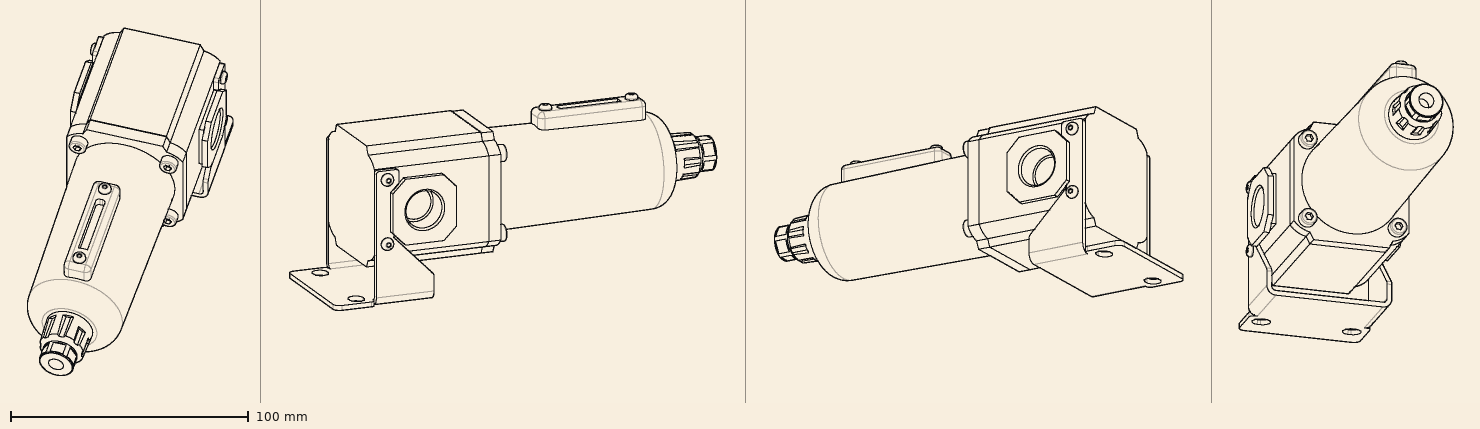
import cadquery as cq
import math


hex_sides = 6
sheet = 2.2

housing_half_width = 25.4
housing_top = 26.8
housing_half_height = 26.5
housing_length = 52.0
housing_shoulder = (18.3, 23.2)
corner_bulge = (22.5, 21.5)
side_half_height = 18.8
step_x = 16.7

port_y = -21.0
neck_half = 11.2
pad_half = 14.5
pad_corner = 5.8
overall_width = 60.0
pad_outer_x = overall_width / 2
bracket_half_width = housing_half_width + sheet
pad_inner_x = bracket_half_width
port_radius = 8.1
port_mouth_radius = 9.0
port_depth = 10.5
port_tip_radius = 7.0
port_tip_depth = 4.2

flange_thickness = 5.5
bowl_base_radius = 22.0
bowl_tip_radius = 20.6
bowl_length = 84.8
bowl_end_round = 8.7
flange_front_y = -(housing_length + flange_thickness)
bowl_end_y = flange_front_y - bowl_length

flange_screw_x = 19.7
flange_screw_z = 17.5
flange_screw_radius = 3.6
flange_screw_height = 3.8
flange_screw_round = 0.5
flange_socket_diameter = 3.5
flange_socket_depth = 1.8

small_head_radius = 2.7
small_head_height = 2.0
small_head_round = 1.5
small_socket_diameter = 2.0
small_socket_depth = 0.5

gauge_half_width = 5.8
gauge_back_y = -83.1
gauge_length = 48.9
gauge_top = 28.0
gauge_round = 2.4
gauge_screw_inset = 4.9
window_width = 4.0
window_length = 27.9
window_back_gap = 10.5
window_depth = 3.6
window_round = 1.5

drain_end_y = -163.0
drain_base_radius = 10.1
drain_grip_radius = 9.6
drain_grip_length = 12.3
drain_cone_length = 2.0
drain_nose_radius = 7.5
drain_hole_radius = 3.3
nose_chamfer = 0.4
drain_hole_depth = 7.2
nose_flat_distance = 6.9
nose_flat_length = 5.0
nose_rim = 0.7
groove_count = 8
groove_top_width = 4.0
groove_floor_width = 2.0
groove_depth = 0.63
long_groove_length = 10.5
short_groove_length = 7.2
long_grooves = (2, 3)

bracket_bottom = -41.0
bracket_top = 18.5
bend_radius = 4.0
tab_depth = 10.3
tab_round = 1.3
slope_round = 2.2
notch_depth = 8.0
notch_top = 12.1
notch_bottom = -11.2
bracket_front = 26.3
foot_half_width = 26.6
foot_length = 18.1
foot_back_round = 2.9
foot_front_round = 1.8
foot_slot_x = 20.0
foot_slot_y = 6.0
foot_slot_length = 7.8
foot_slot_width = 6.5
bracket_screw_y = -4.9
bracket_screw_heights = (14.5, -13.8)


def body_section(y, top):
    """Cross-section of the housing and flange, facing -Y, with stepped and rounded corners."""
    sx, sz = housing_shoulder
    bx, bz = corner_bulge
    return (
        cq.Workplane("XZ", origin=(0, y, 0))
        .moveTo(-step_x, top)
        .lineTo(step_x, top)
        .lineTo(sx, sz)
        .threePointArc((bx, bz), (housing_half_width, side_half_height))
        .lineTo(housing_half_width, -side_half_height)
        .threePointArc((bx, -bz), (sx, -sz))
        .lineTo(step_x, -housing_half_height)
        .lineTo(-step_x, -housing_half_height)
        .lineTo(-sx, -sz)
        .threePointArc((-bx, -bz), (-housing_half_width, -side_half_height))
        .lineTo(-housing_half_width, side_half_height)
        .threePointArc((-bx, bz), (-sx, sz))
        .close()
    )


def make_port():
    """Octagonal pad on a square neck, on the +X side."""
    neck = cq.Workplane("YZ", origin=(housing_half_width, port_y, 0)).rect(2 * neck_half, 2 * neck_half)
    pad = cq.Workplane("YZ", origin=(pad_inner_x, port_y, 0)).rect(2 * pad_half, 2 * pad_half)
    pad = pad.extrude(pad_outer_x - pad_inner_x).edges("|X").chamfer(pad_corner)
    return neck.extrude(pad_inner_x - housing_half_width).union(pad)


def make_port_bore():
    """Chamfered bore ending in a narrower cone, running inward from the +X pad."""
    bevel = port_mouth_radius - port_radius
    floor_x = pad_outer_x - port_depth
    return (
        cq.Workplane("XY", origin=(0, port_y, 0))
        .moveTo(pad_outer_x, 0)
        .lineTo(pad_outer_x, port_mouth_radius)
        .lineTo(pad_outer_x - bevel, port_radius)
        .lineTo(floor_x, port_radius)
        .lineTo(floor_x, port_tip_radius)
        .lineTo(floor_x - port_tip_depth, 0)
        .close()
        .revolve(360, (0, 0, 0), (1, 0, 0))
    )


def make_housing():
    port = make_port()
    bore = make_port_bore()
    housing = body_section(0, housing_top).extrude(housing_length)
    housing = housing.union(port).union(port.mirror("YZ"))
    return housing.cut(bore).cut(bore.mirror("YZ"))


def make_bowl():
    flange = body_section(-housing_length, housing_half_height).extrude(flange_thickness)
    bowl = (
        cq.Workplane("XY")
        .moveTo(0, flange_front_y)
        .lineTo(bowl_base_radius, flange_front_y)
        .lineTo(bowl_tip_radius, bowl_end_y + bowl_end_round)
        .radiusArc((bowl_tip_radius - bowl_end_round, bowl_end_y), bowl_end_round)
        .lineTo(0, bowl_end_y)
        .close()
        .revolve(360, (0, 0, 0), (0, 1, 0))
    )
    return flange.union(bowl)


def make_flange_screw(x, z):
    """Round hex-socket head seated on the flange front."""
    head = cq.Workplane("XZ", origin=(x, flange_front_y, z)).circle(flange_screw_radius)
    head = head.extrude(flange_screw_height).faces("<Y").edges().fillet(flange_screw_round)
    socket = head.faces("<Y").workplane().polygon(hex_sides, flange_socket_diameter)
    return socket.cutBlind(-flange_socket_depth)


def make_small_head():
    """Rounded screw head standing on the XY plane, with a hex socket."""
    rim_height = small_head_height - small_head_round
    crown_radius = small_head_radius - small_head_round
    head = (
        cq.Workplane("XZ")
        .lineTo(small_head_radius, 0)
        .lineTo(small_head_radius, rim_height)
        .radiusArc((crown_radius, small_head_height), -small_head_round)
        .lineTo(0, small_head_height)
        .close()
        .revolve(360, (0, 0, 0), (0, 1, 0))
    )
    socket = head.faces(">Z").workplane().polygon(hex_sides, small_socket_diameter)
    return socket.cutBlind(-small_socket_depth)


def make_gauge(bowl):
    """Rounded sight-gauge cover seated on the bowl, with a window and two screw heads."""
    middle_y = gauge_back_y - gauge_length / 2
    cover = cq.Workplane("XY", origin=(0, middle_y, 0)).rect(2 * gauge_half_width, gauge_length)
    cover = cover.extrude(gauge_top).edges("|Z or >Z").fillet(gauge_round)

    window_y = gauge_back_y - window_back_gap - window_length / 2
    window = cq.Workplane("XY", origin=(0, window_y, gauge_top - window_depth))
    window = window.rect(window_width, window_length).extrude(window_depth)
    window = window.edges("|Z and >Y").fillet(window_round)
    cover = cover.cut(window).cut(bowl)

    screw_reach = gauge_length / 2 - gauge_screw_inset
    for screw_y in (middle_y - screw_reach, middle_y + screw_reach):
        cover = cover.union(make_small_head().translate((0, screw_y, gauge_top)))
    return cover


def make_groove(length):
    """Cutter for one trapezoidal grip groove, on the +X side of the drain."""
    top_radius = drain_base_radius + groove_depth
    floor_radius = drain_grip_radius - groove_depth
    flare = (groove_top_width - groove_floor_width) / 2
    top_half_width = groove_floor_width / 2 + flare * (top_radius - floor_radius) / groove_depth
    start_y = bowl_end_y - drain_grip_length + length
    return (
        cq.Workplane("XZ", origin=(0, start_y, 0))
        .moveTo(floor_radius, -groove_floor_width / 2)
        .lineTo(top_radius, -top_half_width)
        .lineTo(top_radius, top_half_width)
        .lineTo(floor_radius, groove_floor_width / 2)
        .close()
        .extrude(length + drain_cone_length)
    )


def make_drain():
    grip_end_y = bowl_end_y - drain_grip_length
    drain = (
        cq.Workplane("XY")
        .moveTo(0, bowl_end_y)
        .lineTo(drain_base_radius, bowl_end_y)
        .lineTo(drain_grip_radius, grip_end_y)
        .lineTo(drain_nose_radius, grip_end_y - drain_cone_length)
        .lineTo(drain_nose_radius, drain_end_y + nose_chamfer)
        .lineTo(drain_nose_radius - nose_chamfer, drain_end_y)
        .lineTo(0, drain_end_y)
        .close()
        .revolve(360, (0, 0, 0), (0, 1, 0))
    )
    for i in range(groove_count):
        length = long_groove_length if i in long_grooves else short_groove_length
        groove = make_groove(length).rotate((0, 0, 0), (0, 1, 0), -i * 360 / groove_count)
        drain = drain.cut(groove)

    flats_start = cq.Workplane("XZ", origin=(0, drain_end_y + nose_rim + nose_flat_length, 0))
    hexagon_diameter = 2 * nose_flat_distance / math.cos(math.pi / hex_sides)
    hexagon = flats_start.polygon(hex_sides, hexagon_diameter).extrude(nose_flat_length)
    around_hexagon = flats_start.circle(drain_base_radius).extrude(nose_flat_length).cut(hexagon)
    drain = drain.cut(around_hexagon)

    hole = cq.Workplane("XZ", origin=(0, drain_end_y + drain_hole_depth, 0))
    return drain.cut(hole.circle(drain_hole_radius).extrude(drain_hole_depth))


def make_bracket_channel():
    """U-shaped sheet wrapped around the housing sides, cut to the side outline."""
    height = bracket_top - bracket_bottom
    middle_z = (bracket_top + bracket_bottom) / 2
    outer = cq.Workplane("XY").box(2 * bracket_half_width, 2 * bracket_front, height)
    outer = outer.edges("|Y and <Z").fillet(bend_radius)
    inner = cq.Workplane("XY").box(2 * housing_half_width, 2 * bracket_front, height)
    inner = inner.edges("|Y and <Z").fillet(bend_radius - sheet)
    channel = outer.cut(inner.translate((0, 0, sheet))).translate((0, 0, middle_z))

    slope_bottom = notch_bottom - (bracket_front - notch_depth)
    side_outline = (
        cq.Workplane("YZ", origin=(-bracket_half_width, 0, 0))
        .moveTo(0, bracket_bottom)
        .lineTo(0, bracket_top - tab_round)
        .radiusArc((-tab_round, bracket_top), -tab_round)
        .lineTo(tab_round - tab_depth, bracket_top)
        .radiusArc((-tab_depth, bracket_top - tab_round), -tab_round)
        .lineTo(-tab_depth, notch_top)
        .lineTo(-notch_depth, notch_top + notch_depth - tab_depth)
        .lineTo(-notch_depth, notch_bottom)
        .lineTo(-bracket_front, slope_bottom)
        .lineTo(-bracket_front, bracket_bottom)
        .close()
        .extrude(2 * bracket_half_width)
    )
    slope_corner = cq.selectors.NearestToPointSelector((0, -bracket_front, slope_bottom))
    side_outline = side_outline.edges(slope_corner).fillet(slope_round)
    return channel.intersect(side_outline)


def make_bracket():
    foot = cq.Workplane("XY", origin=(0, foot_length / 2, bracket_bottom))
    foot = foot.rect(2 * foot_half_width, foot_length).extrude(sheet)
    foot = foot.edges("|Z and >Y").fillet(foot_back_round).edges("|Z and <Y").fillet(foot_front_round)
    slots = (
        cq.Workplane("XY", origin=(0, foot_slot_y, bracket_bottom))
        .pushPoints([(-foot_slot_x, 0), (foot_slot_x, 0)])
        .slot2D(foot_slot_length, foot_slot_width)
        .extrude(sheet)
    )
    bracket = make_bracket_channel().union(foot.cut(slots))

    for screw_z in bracket_screw_heights:
        for side in (-1, 1):
            head = make_small_head().rotate((0, 0, 0), (0, 1, 0), side * 90)
            bracket = bracket.union(head.translate((side * bracket_half_width, bracket_screw_y, screw_z)))
    return bracket


housing = make_housing()
bowl = make_bowl()
gauge = make_gauge(bowl)
drain = make_drain()
bracket = make_bracket()
flange_screws = []
for screw_x in (-flange_screw_x, flange_screw_x):
    for screw_z in (-flange_screw_z, flange_screw_z):
        flange_screws.append(make_flange_screw(screw_x, screw_z).val())

result = cq.Compound.makeCompound(
    [housing.val(), bowl.val(), gauge.val(), drain.val(), bracket.val(), *flange_screws]
)